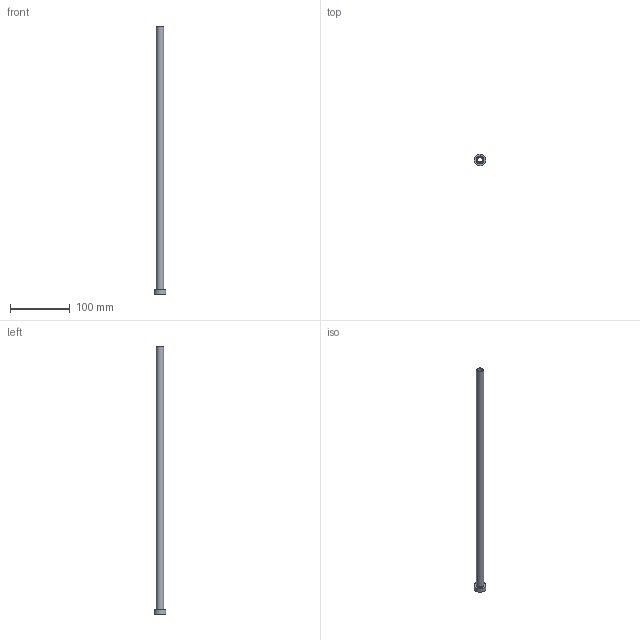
import cadquery as cq

total_length = 450.0
head_diameter = 20.0
head_height = 7.0
tube_diameter = 12.0
bore_diameter = 8.5
neck_fillet_radius = 0.7


def cylinder(diameter, height):
    """Upright cylinder on the Z axis, standing on Z = 0."""
    return cq.Workplane("XY").circle(diameter / 2).extrude(height)


def make_body():
    """Round head and tube, with a fillet in the corner where they meet."""
    body = cylinder(head_diameter, head_height).union(cylinder(tube_diameter, total_length))
    head_top = body.faces("<Z[1]")
    neck_corner = head_top.edges(cq.selectors.RadiusNthSelector(0))
    return neck_corner.fillet(neck_fillet_radius)


def make_bore():
    """Plain bore through the whole sleeve."""
    return cylinder(bore_diameter, total_length)


result = make_body().cut(make_bore())